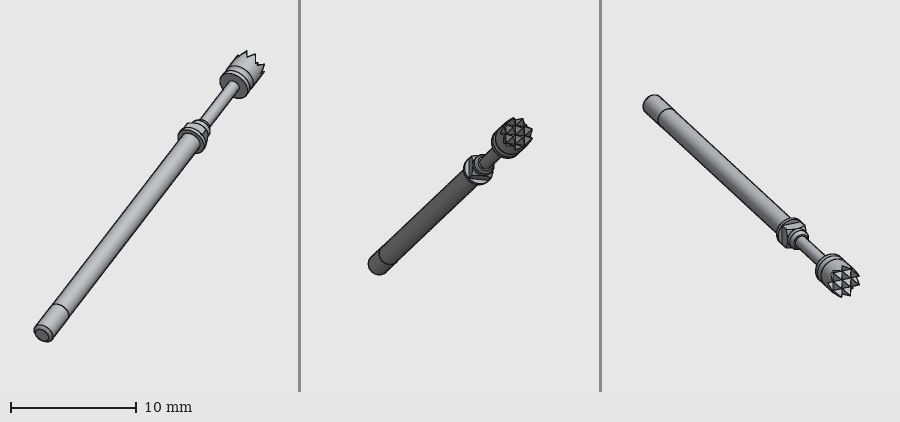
import cadquery as cq
import math

overall_length = 35.8

head_radius = 1.25
head_length = 3.0
groove_start = 2.0
groove_end = 2.62
groove_depth = 0.11
stem_radius = 0.5

tooth_pitch = 0.78
tooth_depth = 0.72
groove_offsets = (-tooth_pitch, 0, tooth_pitch)

barrel_radius = 0.83
mouth_station = 8.25
mouth_radius = 0.63
mouth_chamfer_end = 8.6
collar_start = 9.0
flange_start = 10.0
flange_thickness = 0.32
flange_radius = 1.18
collar_width = 2 * barrel_radius
collar_corner_radius = barrel_radius * math.sqrt(2)
collar_cone_length = 0.3

tail_length = 3.0
tail_radius = 0.85
tail_chamfer = 0.25


def turned(profile):
    """Solid of revolution about Y from (radius, station) points listed from tip to tail."""
    first_station = profile[0][1]
    last_station = profile[-1][1]
    points = [(0, first_station)] + profile + [(0, last_station)]
    outline = cq.Workplane("XY").polyline([(r, -s) for r, s in points]).close()
    return outline.revolve(360, (0, 0, 0), (0, 1, 0))


def ring_groove():
    """Cutter for the shallow round-bottomed groove around the head."""
    half_width = (groove_end - groove_start) / 2
    arc_radius = (half_width**2 + groove_depth**2) / (2 * groove_depth)
    centre_radius = head_radius - groove_depth + arc_radius
    centre_station = (groove_start + groove_end) / 2
    return (
        cq.Workplane("XY")
        .center(centre_radius, -centre_station)
        .circle(arc_radius)
        .revolve(360, (-centre_radius, 0, 0), (-centre_radius, 1, 0))
    )


def plunger():
    body = turned([
        (head_radius, 0),
        (head_radius, head_length),
        (stem_radius, head_length),
        (stem_radius, mouth_station),
    ])
    return body.cut(ring_groove())


def serration_cutter(offset):
    """V groove running along Z, centred at X = offset."""
    half_pitch = tooth_pitch / 2
    triangle = [(offset - half_pitch, 0), (offset, -tooth_depth), (offset + half_pitch, 0)]
    return (
        cq.Workplane("XY")
        .polyline(triangle)
        .close()
        .extrude(head_radius, both=True)
    )


def serrate(body):
    """Cut the crossing grooves, leaving a grid of pyramid teeth on the tip face."""
    for offset in groove_offsets:
        cutter = serration_cutter(offset)
        body = body.cut(cutter)
        body = body.cut(cutter.rotate((0, 0, 0), (0, 1, 0), 90))
    return body


def barrel():
    tail_start = overall_length - tail_length
    return turned([
        (mouth_radius, mouth_station),
        (barrel_radius, mouth_chamfer_end),
        (barrel_radius, tail_start),
        (tail_radius, tail_start),
        (tail_radius, overall_length - tail_chamfer),
        (tail_radius - tail_chamfer, overall_length),
    ])


def square_collar():
    """Square wrench section whose tip-side corners are relieved by a cone."""
    blank = turned([
        (barrel_radius, collar_start),
        (collar_corner_radius, collar_start + collar_cone_length),
        (collar_corner_radius, flange_start),
    ])
    square_bar = cq.Workplane("XZ").rect(collar_width, collar_width).extrude(flange_start)
    return blank.intersect(square_bar)


def flange():
    return turned([
        (flange_radius, flange_start),
        (flange_radius, flange_start + flange_thickness),
    ])


result = (
    serrate(plunger())
    .union(barrel())
    .union(square_collar())
    .union(flange())
    .translate((0, flange_start, 0))
)